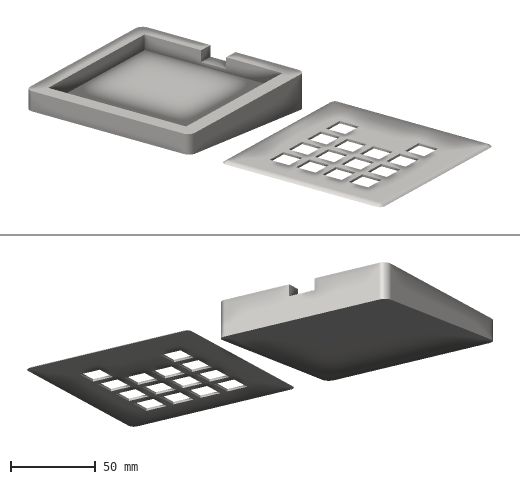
import cadquery as cq
import math

housing_width = 119.25
housing_length = 117.25
front_height = 13.0
tilt_angle = 5.0
corner_radius = 5.0
rear_drop = housing_length * math.tan(math.radians(tilt_angle))

cavity_width = 99.75
cavity_length = 98.0
cavity_depth = 10.0
rear_wall = (housing_length - cavity_length) / 2

notch_width = 18.0
notch_depth = 7.5

overall_width = 256.6
block_width = 119.0
block_length = housing_length
block_height = 15.0
edge_radius = 5.0
plate_thickness = 1.5
edge_run = math.sqrt(edge_radius**2 - (edge_radius - plate_thickness) ** 2)
plate_width = block_width - 2 * (edge_radius - edge_run)
plate_center_x = overall_width - (housing_width + plate_width) / 2

key_pitch = 19.05
key_opening = 14.0
key_rows = 4
key_columns = 4
key_grid_offset_x = 0.1
key_grid_offset_y = -3.5


def make_housing():
    side_profile = [
        (-housing_length / 2, 0),
        (housing_length / 2, -rear_drop),
        (housing_length / 2, front_height),
        (-housing_length / 2, front_height),
    ]
    body = (
        cq.Workplane("YZ")
        .polyline(side_profile)
        .close()
        .extrude(housing_width / 2, both=True)
        .edges("|Z")
        .fillet(corner_radius)
    )
    top = cq.Workplane("XY").workplane(offset=front_height)
    cavity = top.rect(cavity_width, cavity_length).extrude(-cavity_depth)
    cable_notch = (
        top.center(0, (housing_length - rear_wall) / 2)
        .rect(notch_width, housing_length - rear_wall)
        .extrude(-notch_depth)
    )
    return body.cut(cavity).cut(cable_notch)


def is_open_key(row, column):
    """The two middle positions of the rear row have no opening."""
    rear_row = row == key_rows - 1
    end_column = column in (0, key_columns - 1)
    return end_column or not rear_row


def make_key_plate():
    block = (
        cq.Workplane("XY")
        .workplane(offset=plate_thickness - block_height)
        .rect(block_width, block_length)
        .extrude(block_height)
        .edges("|Z or >Z")
        .fillet(edge_radius)
    )
    below_plate = cq.Workplane("XY").rect(block_width, block_length).extrude(-block_height)
    key_points = [
        (
            (column - (key_columns - 1) / 2) * key_pitch + key_grid_offset_x,
            (row - (key_rows - 1) / 2) * key_pitch + key_grid_offset_y,
        )
        for row in range(key_rows)
        for column in range(key_columns)
        if is_open_key(row, column)
    ]
    openings = (
        cq.Workplane("XY")
        .pushPoints(key_points)
        .rect(key_opening, key_opening)
        .extrude(plate_thickness)
    )
    plate = block.cut(below_plate).cut(openings)
    return plate.translate((plate_center_x, 0, 0))


housing = make_housing()
key_plate = make_key_plate()
result = cq.Compound.makeCompound([housing.val(), key_plate.val()])